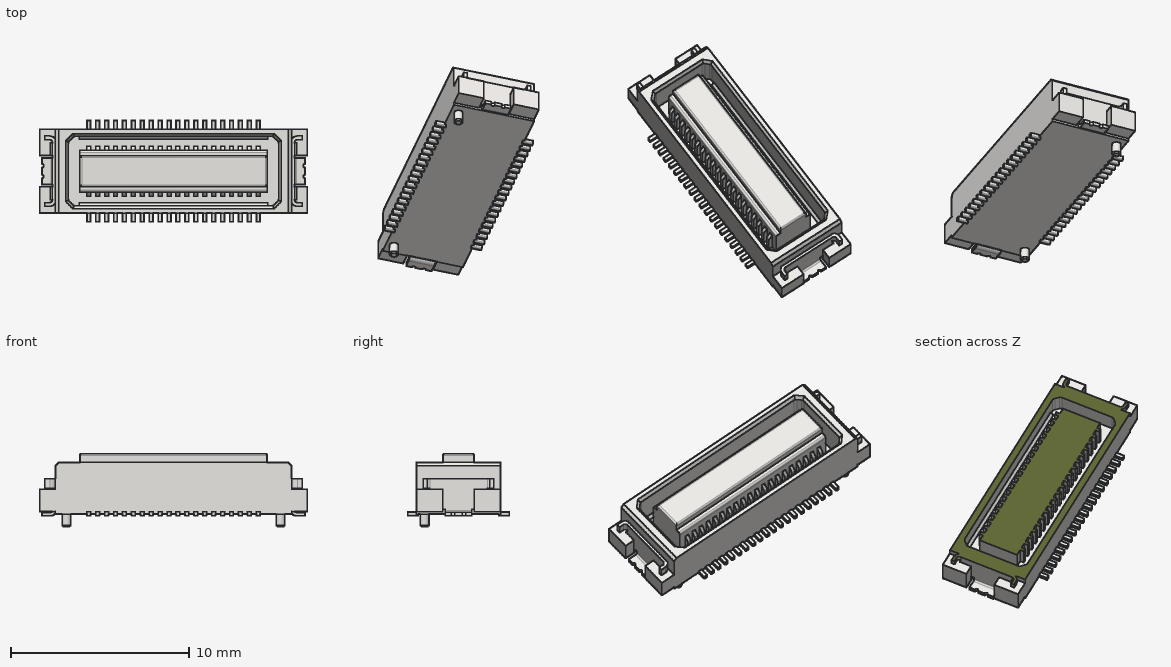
import cadquery as cq
import math

body_bottom = 0.1
flange_bottom = 0.25
flange_top = 1.5
body_top = 3.0
core_top = 3.5

overall_length = 15.0
body_length = 13.24
body_width = 4.72
body_edge_chamfer = 0.18
flange_gap = 1.75

cavity_length = 12.08
cavity_width = 4.2
cavity_corner = 0.4
cavity_floor = 0.8
mouth_inset = 0.15
mouth_depth = 0.2
well_corner_radius = 0.2
floor_ramp = 0.17
ramp_length = 10.54

core_length = 10.5
core_base_width = 2.35
core_blade_width = 1.75
core_shoulder = 3.0
shoulder_radius = 0.13
core_edge_radius = 0.1

contacts_per_row = 20
pitch = 0.5
contact_width = 0.22
contact_top = 2.35
contact_reach = 0.22
contact_slope_height = 0.3
contact_edge_radius = 0.06
lead_span = 5.7
lead_thickness = 0.23
lead_root_y = 2.25
lead_edge_radius = 0.06

peg_x = 6.0
peg_y = -1.9
peg_diameter = 0.5
peg_bottom = -0.6
peg_chamfer = 0.08

clip_width = 3.94
clip_thickness = 0.21
clip_outer_x = 6.79
clip_arm_end_x = 7.22
clip_bend_radius = 0.36
clip_bottom = 1.55
clip_top = 2.1
clip_plate_bottom = 0.38
clip_slot_width = 3.2
clip_slot_clearance = 0.11
tail_width = 1.5
tail_thickness = clip_thickness
tail_end_x = 7.38
tail_bend_radius = 0.1
tail_notch_radius = 0.1
tail_notch_spacing = 0.6


def box(x_range, y_range, z_range):
    """Box between the given limits along each axis."""
    size = [limits[1] - limits[0] for limits in (x_range, y_range, z_range)]
    return (
        cq.Workplane("XY")
        .box(*size, centered=False)
        .translate((x_range[0], y_range[0], z_range[0]))
    )


def centered_box(length, width, bottom, top):
    """Box centred on the Z axis between two heights."""
    return box((-length / 2, length / 2), (-width / 2, width / 2), (bottom, top))


def both_ends(half):
    """Join a feature at +X with its mirror image at -X."""
    return half.union(half.mirror("YZ"))


def make_housing():
    shell = centered_box(body_length, body_width, body_bottom, body_top)
    shell = shell.edges("|Y and >Z").chamfer(body_edge_chamfer)
    flanges = centered_box(overall_length, body_width, flange_bottom, flange_top)
    flange_depth = (overall_length - body_length) / 2
    gap = box(
        (body_length / 2, body_length / 2 + flange_depth),
        (-flange_gap / 2, flange_gap / 2),
        (flange_bottom, flange_top),
    )
    return shell.union(flanges.cut(both_ends(gap)))


def make_cavity():
    """Well with a bevelled mouth; the corners are cut at 45 degrees."""
    bevel_angle = math.degrees(math.atan(mouth_inset / mouth_depth))
    mouth = (
        centered_box(cavity_length, cavity_width, body_top - mouth_depth, body_top)
        .edges("|Z")
        .chamfer(cavity_corner)
        .faces(">Z")
        .wires()
        .toPending()
        .extrude(-mouth_depth, taper=bevel_angle, combine=False)
    )
    well_corner = cavity_corner - (2 - math.sqrt(2)) * mouth_inset
    well_length = cavity_length - 2 * mouth_inset
    well_width = cavity_width - 2 * mouth_inset
    well = (
        centered_box(well_length, well_width, cavity_floor, body_top - mouth_depth)
        .edges("|Z")
        .chamfer(well_corner)
        .edges("|Z")
        .fillet(well_corner_radius)
    )
    return well.union(mouth)


def make_ramps():
    """Sloped strips where both long walls of the cavity meet its floor."""
    wall = cavity_width / 2 - mouth_inset
    ramp = (
        cq.Workplane("YZ")
        .moveTo(body_width / 2, body_bottom)
        .lineTo(wall - floor_ramp, body_bottom)
        .lineTo(wall - floor_ramp, cavity_floor)
        .lineTo(wall, cavity_floor + floor_ramp)
        .lineTo(body_width / 2, cavity_floor + floor_ramp)
        .close()
        .extrude(ramp_length / 2, both=True)
    )
    return ramp.union(ramp.mirror("XZ"))


def make_core():
    base = centered_box(core_length, core_base_width, body_bottom, core_shoulder)
    base = base.edges("|X and >Z").fillet(shoulder_radius)
    blade = centered_box(core_length, core_blade_width, body_bottom, core_top)
    blade = blade.faces(">Z").edges().fillet(core_edge_radius)
    return base.union(blade)


def make_contact():
    """Contact strip on the +Y flank of the core, and its lead outside the housing."""
    flank = core_base_width / 2
    outer_y = flank + contact_reach
    slope_foot = contact_top - contact_slope_height
    strip = (
        cq.Workplane("YZ")
        .moveTo(0, body_bottom)
        .lineTo(outer_y, body_bottom)
        .lineTo(outer_y, slope_foot)
        .lineTo(flank, contact_top)
        .lineTo(0, contact_top)
        .close()
        .extrude(contact_width / 2, both=True)
        .edges(cq.selectors.NearestToPointSelector((0, outer_y, slope_foot)))
        .fillet(contact_edge_radius)
    )
    half_width = contact_width / 2
    lead = box((-half_width, half_width), (lead_root_y, lead_span / 2), (0, lead_thickness))
    lead = lead.edges("|Y and <Z").fillet(lead_edge_radius)
    return strip.union(lead)


def make_contacts():
    contact = make_contact()
    pair = contact.union(contact.mirror("XZ"))
    first_x = -pitch * (contacts_per_row - 1) / 2
    contacts = pair.translate((first_x, 0, 0))
    for index in range(1, contacts_per_row):
        contacts = contacts.union(pair.translate((first_x + index * pitch, 0, 0)))
    return contacts


def make_peg():
    return (
        cq.Workplane("XY", origin=(peg_x, peg_y, peg_bottom))
        .circle(peg_diameter / 2)
        .extrude(flange_bottom - peg_bottom)
        .faces("<Z")
        .chamfer(peg_chamfer)
    )


def make_clip():
    """Bent hold-down clip at +X: bracket with two arms, a plate and a solder tail."""
    inner_x = clip_outer_x - clip_thickness
    bracket = box(
        (inner_x, clip_arm_end_x), (-clip_width / 2, clip_width / 2), (clip_bottom, clip_top)
    )
    bracket = bracket.edges("|Z and <X").fillet(clip_bend_radius)
    hollow_width = clip_width - 2 * clip_thickness
    hollow = box(
        (clip_outer_x, overall_length / 2),
        (-hollow_width / 2, hollow_width / 2),
        (clip_bottom, clip_top),
    )
    hollow = hollow.edges("|Z and <X").fillet(clip_bend_radius - clip_thickness)
    plate = box(
        (inner_x, clip_outer_x),
        (-clip_slot_width / 2, clip_slot_width / 2),
        (clip_plate_bottom, clip_top),
    )
    return bracket.cut(hollow).union(plate).union(make_tail())


def make_tail():
    """Solder tail: flat strip that bends up into the clip plate."""
    bend_x = clip_outer_x + tail_bend_radius
    bend_z = tail_thickness + tail_bend_radius
    inner_x = clip_outer_x - clip_thickness
    tail = (
        cq.Workplane("XZ")
        .moveTo(tail_end_x, 0)
        .lineTo(tail_end_x, tail_thickness)
        .lineTo(bend_x, tail_thickness)
        .radiusArc((clip_outer_x, bend_z), tail_bend_radius)
        .lineTo(clip_outer_x, clip_plate_bottom)
        .lineTo(inner_x, clip_plate_bottom)
        .lineTo(inner_x, bend_z)
        .radiusArc((bend_x, 0), -(bend_x - inner_x))
        .close()
        .extrude(tail_width / 2, both=True)
    )
    notches = (
        cq.Workplane("XY")
        .pushPoints([(tail_end_x, side * tail_notch_spacing / 2) for side in (-1, 1)])
        .circle(tail_notch_radius)
        .extrude(tail_thickness)
    )
    return tail.cut(notches)


def make_clip_slot():
    """Clearance in the flange in front of the clip plate."""
    return box(
        (clip_outer_x, clip_outer_x + clip_slot_clearance),
        (-clip_slot_width / 2, clip_slot_width / 2),
        (clip_plate_bottom, flange_top),
    )


housing = make_housing().cut(make_cavity()).union(make_ramps()).union(make_core())
housing = housing.cut(both_ends(make_clip_slot()))
result = housing.union(make_contacts()).union(both_ends(make_clip())).union(both_ends(make_peg()))